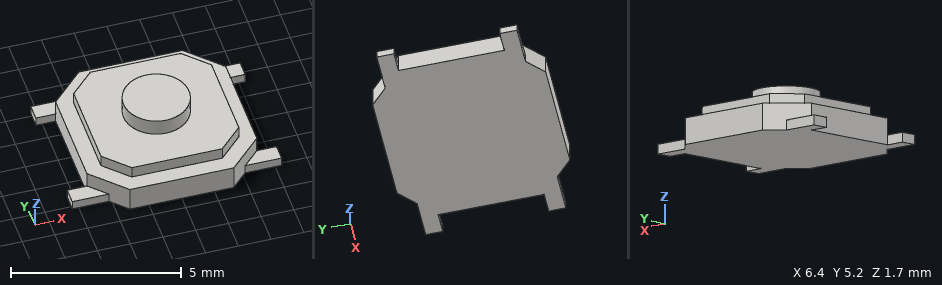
import cadquery as cq

body_width = 5.2
body_corner = 1.01
body_height = 0.8

plate_width = 4.21
plate_corner = 0.72
plate_top = 1.18

button_diameter = 2.0
overall_height = 1.7

lead_span = 6.4
lead_thickness = 0.3
lead_inner_y = body_width / 2 - body_corner
lead_outer_y = plate_width / 2
lead_width = lead_outer_y - lead_inner_y
lead_center_y = (lead_outer_y + lead_inner_y) / 2


def chamfered_square(width, corner, bottom, top):
    """Square block from bottom to top with its four vertical edges cut."""
    block = cq.Workplane("XY").workplane(offset=bottom).rect(width, width).extrude(top - bottom)
    return block.edges("|Z").chamfer(corner)


body = chamfered_square(body_width, body_corner, 0, body_height)
plate = chamfered_square(plate_width, plate_corner, body_height, plate_top)
button = (
    cq.Workplane("XY")
    .workplane(offset=plate_top)
    .circle(button_diameter / 2)
    .extrude(overall_height - plate_top)
)
leads = (
    cq.Workplane("XY")
    .pushPoints([(0, -lead_center_y), (0, lead_center_y)])
    .rect(lead_span, lead_width)
    .extrude(lead_thickness)
)

result = body.union(plate).union(button).union(leads)